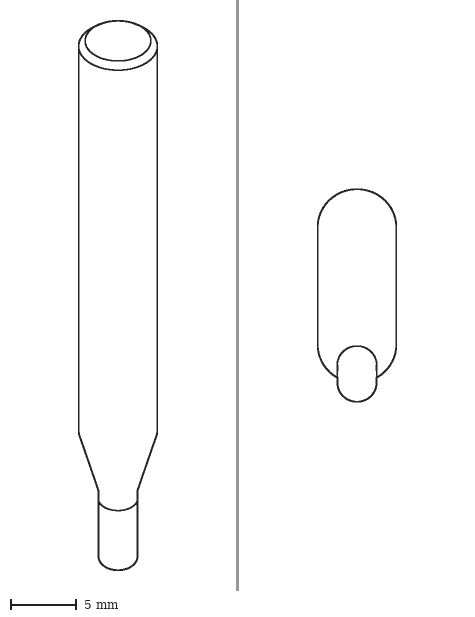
import cadquery as cq
import math

total_length = 50.0
shank_diameter = 6.0
shank_chamfer = 0.5

cutter_diameter = 3.0
cutter_length = 6.0
corner_radius = 0.5
neck_diameter = cutter_diameter
neck_end = 6.9
taper_half_angle = 15.0
taper_length = (shank_diameter - neck_diameter) / 2 / math.tan(math.radians(taper_half_angle))
taper_end = neck_end + taper_length


def make_cutter():
    """Cylindrical cutting head with a rounded corner at the tip."""
    return (
        cq.Workplane("XY")
        .circle(cutter_diameter / 2)
        .extrude(cutter_length)
        .faces("<Z")
        .edges()
        .fillet(corner_radius)
    )


def make_shank():
    """Neck, conical taper and shank, turned as one solid about Z."""
    neck_radius = neck_diameter / 2
    shank_radius = shank_diameter / 2
    return (
        cq.Workplane("YZ")
        .moveTo(0, cutter_length)
        .lineTo(neck_radius, cutter_length)
        .lineTo(neck_radius, neck_end)
        .lineTo(shank_radius, taper_end)
        .lineTo(shank_radius, total_length - shank_chamfer)
        .lineTo(shank_radius - shank_chamfer, total_length)
        .lineTo(0, total_length)
        .close()
        .revolve(360, (0, 0, 0), (0, 1, 0))
    )


cutter = make_cutter()
shank = make_shank()

result = cq.Compound.makeCompound([cutter.val(), shank.val()])